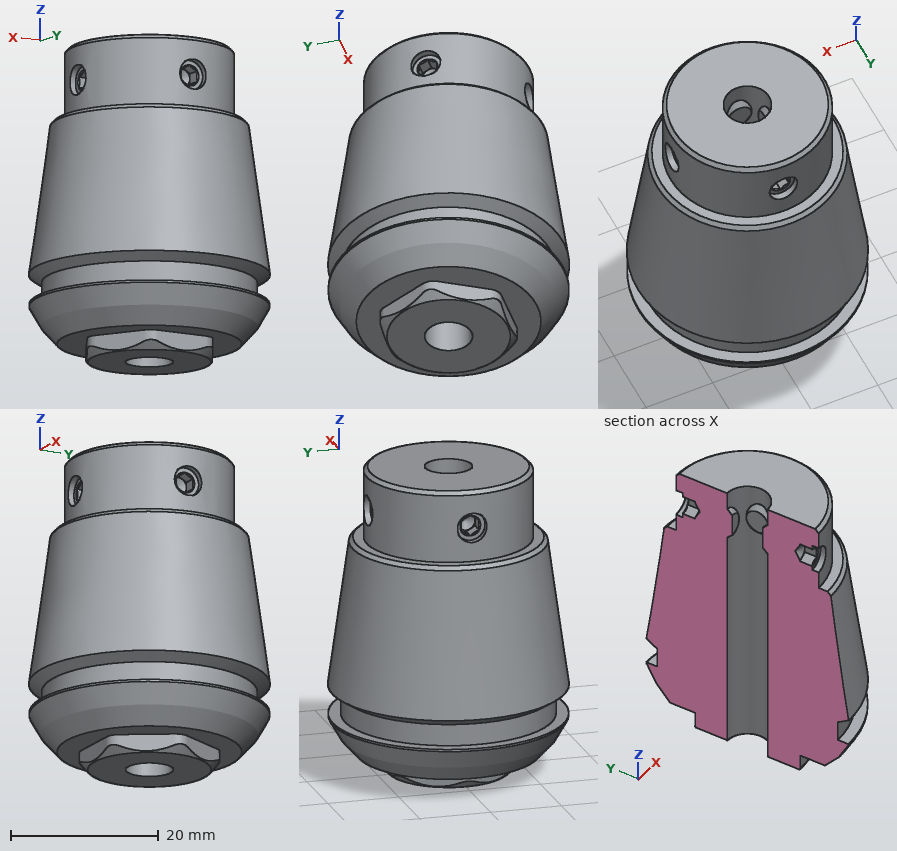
import cadquery as cq
import math

TOTAL_HEIGHT = 43.0

NECK_DIAMETER = 23.0
NECK_LENGTH = 10.0
EDGE_CHAMFER = 0.55
TAPER_ANGLE = 8.0
TAPER_LENGTH = 20.4
MAX_DIAMETER = 32.71
GROOVE_DIAMETER = 29.2
GROOVE_LENGTH = 3.0
GROOVE_WALL_ANGLE = 32.0
RIM_DIAMETER = 32.6
RIM_EDGE_HEIGHT = 0.3
RIM_ANGLE = 30.0
RIM_BREAK_DIAMETER = 29.4
BODY_BOTTOM_DIAMETER = 25.0

HEX_HEIGHT = 2.5
HEX_ACROSS_FLATS = 17.0
HEX_CORNER_RADIUS = 2.0
HEX_BOTTOM_DIAMETER = 16.7

BORE_DIAMETER = 6.48
SCREW_COUNT = 4
SCREW_DROP = 5.25
SCREW_HOLE_DIAMETER = 4.13
SCREW_DIAMETER = 5.0
SCREW_TIP_DIAMETER = 3.5
SCREW_LENGTH = 8.0
SQUARE_SIZE = 4.9
SOCKET_ACROSS_FLATS = 2.5
SOCKET_DEPTH = 2.0
SOCKET_MOUTH_CHAMFER = 0.2
SOCKET_TIP_ANGLE = 60.0

neck_base_z = TOTAL_HEIGHT - NECK_LENGTH
taper_top_z = neck_base_z - EDGE_CHAMFER
taper_base_z = taper_top_z - TAPER_LENGTH
groove_wall_run = (MAX_DIAMETER - GROOVE_DIAMETER) / 2
groove_top_z = taper_base_z - groove_wall_run * math.tan(math.radians(GROOVE_WALL_ANGLE))
groove_base_z = groove_top_z - GROOVE_LENGTH
rim_top_z = groove_base_z - RIM_EDGE_HEIGHT
rim_run = (RIM_DIAMETER - RIM_BREAK_DIAMETER) / 2
rim_break_z = rim_top_z - rim_run / math.tan(math.radians(RIM_ANGLE))
screw_z = TOTAL_HEIGHT - SCREW_DROP


def make_body():
    """Revolved collet body above the hexagon."""
    neck_r = NECK_DIAMETER / 2
    max_r = MAX_DIAMETER / 2
    taper_top_r = max_r - TAPER_LENGTH * math.tan(math.radians(TAPER_ANGLE))
    return (
        cq.Workplane("XZ")
        .moveTo(0, TOTAL_HEIGHT)
        .lineTo(neck_r - EDGE_CHAMFER, TOTAL_HEIGHT)
        .lineTo(neck_r, TOTAL_HEIGHT - EDGE_CHAMFER)
        .lineTo(neck_r, neck_base_z)
        .lineTo(taper_top_r - EDGE_CHAMFER, neck_base_z)
        .lineTo(taper_top_r, taper_top_z)
        .lineTo(max_r, taper_base_z)
        .lineTo(GROOVE_DIAMETER / 2, groove_top_z)
        .lineTo(GROOVE_DIAMETER / 2, groove_base_z)
        .lineTo(RIM_DIAMETER / 2, groove_base_z)
        .lineTo(RIM_DIAMETER / 2, rim_top_z)
        .lineTo(RIM_BREAK_DIAMETER / 2, rim_break_z)
        .lineTo(BODY_BOTTOM_DIAMETER / 2, HEX_HEIGHT)
        .lineTo(0, HEX_HEIGHT)
        .close()
        .revolve(360, (0, 0), (0, 1))
    )


def across_corners(across_flats):
    """Corner-to-corner size of a sharp hexagon."""
    return across_flats / math.cos(math.pi / 6)


def make_hexagon():
    """Hexagon with rounded corners and a 45 degree chamfer at its lower end."""
    corner_distance = across_corners(HEX_ACROSS_FLATS)
    hexagon = (
        cq.Workplane("XY")
        .polygon(6, corner_distance)
        .extrude(HEX_HEIGHT)
        .edges("|Z")
        .fillet(HEX_CORNER_RADIUS)
    )
    envelope = (
        cq.Workplane("XY")
        .circle(corner_distance / 2)
        .extrude(HEX_HEIGHT)
        .faces("<Z")
        .chamfer((corner_distance - HEX_BOTTOM_DIAMETER) / 2)
    )
    return hexagon.intersect(envelope)


def make_screw():
    """Set screw along +Z, its flat tip facing the part axis at the origin."""
    tip_z = SQUARE_SIZE / 2
    tip_chamfer = (SCREW_DIAMETER - SCREW_TIP_DIAMETER) / 2
    return (
        cq.Workplane("XY", origin=(0, 0, tip_z))
        .circle(SCREW_DIAMETER / 2)
        .extrude(SCREW_LENGTH)
        .faces("<Z")
        .chamfer(tip_chamfer)
    )


def make_screw_opening():
    """Open hole outside the screw head, together with the screw's hexagon socket, along +Z."""
    head_z = SQUARE_SIZE / 2 + SCREW_LENGTH
    socket_floor_z = head_z - SOCKET_DEPTH
    hole = cq.Workplane("XY", origin=(0, 0, head_z)).circle(SCREW_HOLE_DIAMETER / 2).extrude(NECK_DIAMETER / 2)

    corner_distance = across_corners(SOCKET_ACROSS_FLATS)
    socket = cq.Workplane("XY", origin=(0, 0, socket_floor_z)).polygon(6, corner_distance).extrude(SOCKET_DEPTH)

    floor_r = SOCKET_ACROSS_FLATS / 2
    floor_depth = floor_r / math.tan(math.radians(SOCKET_TIP_ANGLE))
    floor_cone = cq.Workplane(
        cq.Solid.makeCone(floor_r, 0, floor_depth, pnt=cq.Vector(0, 0, socket_floor_z), dir=cq.Vector(0, 0, -1))
    )

    mouth_r = corner_distance / 2
    mouth_cone = cq.Workplane(
        cq.Solid.makeCone(
            mouth_r,
            mouth_r - SOCKET_MOUTH_CHAMFER,
            SOCKET_MOUTH_CHAMFER,
            pnt=cq.Vector(0, 0, head_z),
            dir=cq.Vector(0, 0, -1),
        )
    )
    return hole.union(socket).union(floor_cone).union(mouth_cone)


def place_at_screw(shape, index):
    """Turn a shape built along +Z into one of the radial screw positions."""
    radial = shape.rotate((0, 0, 0), (0, 1, 0), 90).translate((0, 0, screw_z))
    return radial.rotate((0, 0, 0), (0, 0, 1), index * 360 / SCREW_COUNT)


result = make_body().union(make_hexagon())
result = result.cut(cq.Workplane("XY").circle(BORE_DIAMETER / 2).extrude(TOTAL_HEIGHT))
screw = make_screw()
screw_opening = make_screw_opening()
for position in range(SCREW_COUNT):
    result = result.union(place_at_screw(screw, position))
    result = result.cut(place_at_screw(screw_opening, position))